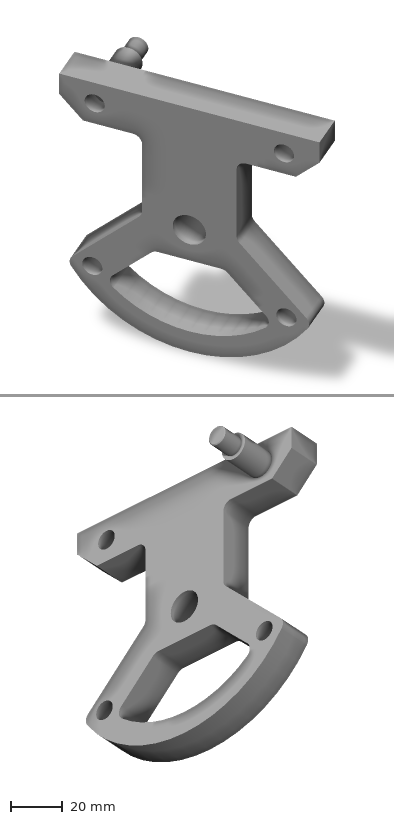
import cadquery as cq
import math

PLATE_THICKNESS = 15.0
HEAD_WIDTH = 110.0
HEAD_HEIGHT = 20.0
HEAD_TOP = 60.0
HEAD_CHAMFER = 10.0
STEM_WIDTH = 40.0
CORNER_RADIUS = 4.0
SECTOR_RADIUS = 60.0
RIM_WIDTH = 10.0
ARM_WIDTH = 15.0
WINDOW_TOP = -15.0
SELECT_MARGIN = 1.0

PIVOT_DIAMETER = 14.0
BOLT_DIAMETER = 8.5
HEAD_HOLE_X = 40.0
HEAD_HOLE_Z = HEAD_TOP - HEAD_HEIGHT / 2
ARM_HOLE_REACH = 50.5

PIN_OFFSET_X = 0.95
PIN_OFFSET_Z = -0.5
PIN_X = -HEAD_HOLE_X + PIN_OFFSET_X
PIN_Z = HEAD_HOLE_Z + PIN_OFFSET_Z
PIN_END_DIAMETER = 8.5
PIN_COLLAR_DIAMETER = 11.9
PIN_STUB_LENGTH = 8.0
PIN_COLLAR_LENGTH = 16.0
PIN_TIP_LENGTH = 9.99
PIN_CHAMFER = 0.4

ARM_RISE = ARM_WIDTH * math.sqrt(2)


def plate_workplane(y):
    """Sketch plane at the given Y, with local axes X and Z and its normal along -Y."""
    return cq.Workplane(cq.Plane(origin=(0, y, 0), xDir=(1, 0, 0), normal=(0, -1, 0)))


def extrude_through(sketch):
    """Extrude from the front face to the back face of the plate."""
    return sketch.extrude(-PLATE_THICKNESS)


def make_body():
    half_head = HEAD_WIDTH / 2
    half_stem = STEM_WIDTH / 2
    head_bottom = HEAD_TOP - HEAD_HEIGHT
    stem_bottom = ARM_RISE - half_stem
    arm_end_x = (ARM_RISE + math.sqrt(2 * SECTOR_RADIUS**2 - ARM_RISE**2)) / 2
    arm_end_z = ARM_RISE - arm_end_x
    outline = (
        plate_workplane(0)
        .moveTo(-half_head, HEAD_TOP)
        .lineTo(half_head, HEAD_TOP)
        .lineTo(half_head, head_bottom + HEAD_CHAMFER)
        .lineTo(half_head - HEAD_CHAMFER, head_bottom)
        .lineTo(half_stem, head_bottom)
        .lineTo(half_stem, stem_bottom)
        .lineTo(arm_end_x, arm_end_z)
        .threePointArc((0, -SECTOR_RADIUS), (-arm_end_x, arm_end_z))
        .lineTo(-half_stem, stem_bottom)
        .lineTo(-half_stem, head_bottom)
        .lineTo(-half_head + HEAD_CHAMFER, head_bottom)
        .lineTo(-half_head, head_bottom + HEAD_CHAMFER)
        .close()
    )
    front = -SELECT_MARGIN
    back = PLATE_THICKNESS + SELECT_MARGIN
    foot_corners = cq.selectors.BoxSelector(
        (-half_head, front, -SECTOR_RADIUS),
        (half_head, back, stem_bottom + SELECT_MARGIN),
    )
    head_corners = cq.selectors.BoxSelector(
        (-half_stem - SELECT_MARGIN, front, head_bottom - SELECT_MARGIN),
        (half_stem + SELECT_MARGIN, back, head_bottom + SELECT_MARGIN),
    )
    return (
        extrude_through(outline)
        .edges("|Y")
        .edges(foot_corners + head_corners)
        .fillet(CORNER_RADIUS)
    )


def make_window():
    """Opening between the two arms and the rim, with rounded corners."""
    inner_radius = SECTOR_RADIUS - RIM_WIDTH
    corner = inner_radius / math.sqrt(2)
    outline = (
        plate_workplane(0)
        .moveTo(WINDOW_TOP, WINDOW_TOP)
        .lineTo(-WINDOW_TOP, WINDOW_TOP)
        .lineTo(corner, -corner)
        .threePointArc((0, -inner_radius), (-corner, -corner))
        .close()
    )
    return extrude_through(outline).edges("|Y").fillet(CORNER_RADIUS)


def make_holes():
    arm_hole_x = (ARM_HOLE_REACH + ARM_WIDTH / 2) / math.sqrt(2)
    arm_hole_z = -(ARM_HOLE_REACH - ARM_WIDTH / 2) / math.sqrt(2)
    bolt_points = []
    for side in (-1, 1):
        bolt_points.append((side * HEAD_HOLE_X, HEAD_HOLE_Z))
        bolt_points.append((side * arm_hole_x, arm_hole_z))
    pivot = extrude_through(plate_workplane(0).circle(PIVOT_DIAMETER / 2))
    bolts = extrude_through(plate_workplane(0).pushPoints(bolt_points).circle(BOLT_DIAMETER / 2))
    return pivot.add(bolts).combine()


def pin_section(start_y, diameter, length):
    return plate_workplane(start_y).center(PIN_X, PIN_Z).circle(diameter / 2).extrude(-length)


def make_pin():
    """Stub in the plate, collar against its back face, and a thinner tip."""
    stub_start = PLATE_THICKNESS - PIN_STUB_LENGTH
    tip_start = PLATE_THICKNESS + PIN_COLLAR_LENGTH
    stub = pin_section(stub_start, PIN_END_DIAMETER, PIN_STUB_LENGTH)
    stub = stub.faces("<Y").chamfer(PIN_CHAMFER)
    collar = pin_section(PLATE_THICKNESS, PIN_COLLAR_DIAMETER, PIN_COLLAR_LENGTH)
    tip = pin_section(tip_start, PIN_END_DIAMETER, PIN_TIP_LENGTH)
    tip = tip.faces(">Y").chamfer(PIN_CHAMFER)
    return stub.union(collar).union(tip)


pin = make_pin()
plate = make_body().cut(make_window()).cut(make_holes()).cut(pin)

result = cq.Compound.makeCompound([plate.val(), pin.val()])